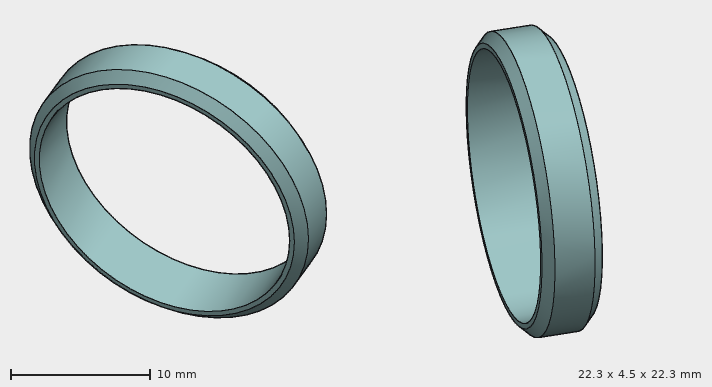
import cadquery as cq

outer_diameter = 22.3
bore_diameter = 20.0
width = 4.5
chamfer = 0.75


def centred_disc(diameter):
    """Disc of the ring's width, centred on the XZ plane."""
    return (
        cq.Workplane("XZ", origin=(0, width / 2, 0))
        .circle(diameter / 2)
        .extrude(width)
    )


bevelled_disc = centred_disc(outer_diameter).faces("<Y or >Y").chamfer(chamfer)

result = bevelled_disc.cut(centred_disc(bore_diameter))